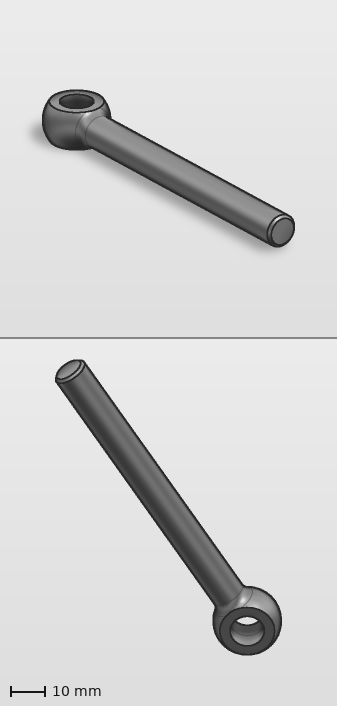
import cadquery as cq
import math

total_length = 110.0
ball_diameter = 20.0
eye_thickness = 12.0
eye_hole_diameter = 10.0
shank_diameter = 10.0
neck_fillet = 4.0
tip_chamfer = 0.9

ball_radius = ball_diameter / 2
shank_radius = shank_diameter / 2
tip_x = total_length - ball_radius

neck_center_r = shank_radius + neck_fillet
neck_end_x = math.sqrt((ball_radius + neck_fillet) ** 2 - neck_center_r ** 2)
touch_ratio = ball_radius / (ball_radius + neck_fillet)
neck_start = (neck_end_x * touch_ratio, neck_center_r * touch_ratio)
neck_end = (neck_end_x, shank_radius)


def ball_and_shank():
    """Revolve the ball, neck and chamfered shank about the X axis."""
    profile = (
        cq.Workplane("XZ")
        .moveTo(-ball_radius, 0)
        .threePointArc((0, ball_radius), neck_start)
        .tangentArcPoint(neck_end, relative=False)
        .lineTo(tip_x - tip_chamfer, shank_radius)
        .lineTo(tip_x, shank_radius - tip_chamfer)
        .lineTo(tip_x, 0)
        .close()
    )
    return profile.revolve(360, (0, 0, 0), (1, 0, 0))


def flatten_eye(body):
    """Cut the ball to two parallel faces at the eye thickness."""
    slab = cq.Workplane("XY").box(2 * total_length, 2 * ball_diameter, eye_thickness)
    return body.intersect(slab)


def drill_eye(body):
    """Cut the through hole along Z at the eye centre."""
    drill = cq.Workplane("XY").circle(eye_hole_diameter / 2).extrude(eye_thickness, both=True)
    return body.cut(drill)


result = drill_eye(flatten_eye(ball_and_shank()))